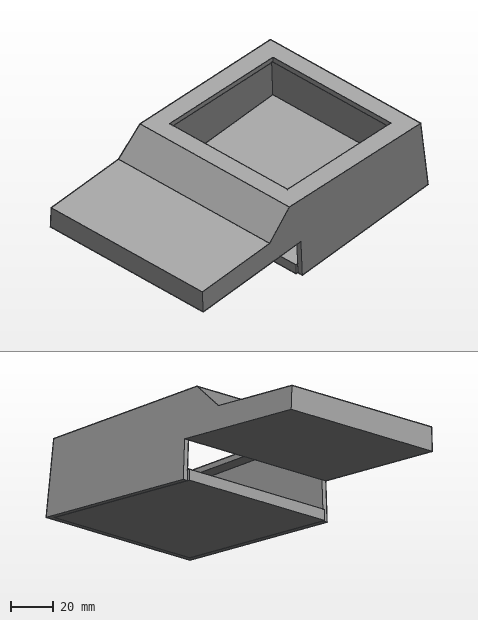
import cadquery as cq
import math

LENGTH = 160.0
BASE_WIDTH = 98.0
TOP_WIDTH = 94.0
PEAK_HEIGHT = 45.0
REAR_Y = LENGTH / 2
FRONT_Y = -LENGTH / 2

REAR_HEIGHT = 38.5
REAR_LEAN = 3.4
PEAK_Y = -17.1
SHELF_Y = -31.8
SHELF_TOP = 32.2
SHELF_UNDERSIDE = 20.2
NOTCH_Y = -10.0

WALL = 2.7
WINDOW_SIZE = 74.0
WINDOW_REAR_INSET = 9.8

PLATE_THICKNESS = 5.5
PLATE_OVERHANG = 1.1
PLATE_CLEARANCE = 0.3

side_slope = (BASE_WIDTH - TOP_WIDTH) / 2 / PEAK_HEIGHT
rear_slope = REAR_LEAN / REAR_HEIGHT
roof_run = REAR_Y - REAR_LEAN - PEAK_Y
roof_slope = (PEAK_HEIGHT - REAR_HEIGHT) / roof_run
roof_angle = math.degrees(math.atan(roof_slope))


def tapered_prism(profile, base_width):
    """Intersect a (Y, Z) profile with a symmetric section that narrows upward."""
    side = cq.Workplane("YZ").polyline(profile).close().extrude(base_width / 2, both=True)
    base_half = base_width / 2
    top_half = base_half - side_slope * PEAK_HEIGHT
    section = [
        (-base_half, 0),
        (base_half, 0),
        (top_half, PEAK_HEIGHT),
        (-top_half, PEAK_HEIGHT),
    ]
    taper = cq.Workplane("XZ").polyline(section).close().extrude(LENGTH, both=True)
    return side.intersect(taper)


def roof_height(y):
    """Height of the sloping roof at a given Y."""
    return PEAK_HEIGHT - roof_slope * (y - PEAK_Y)


def make_outer_block():
    profile = [
        (REAR_Y, 0),
        (REAR_Y - REAR_LEAN, REAR_HEIGHT),
        (PEAK_Y, PEAK_HEIGHT),
        (SHELF_Y, SHELF_TOP),
        (FRONT_Y, SHELF_TOP),
        (FRONT_Y, SHELF_UNDERSIDE),
        (NOTCH_Y, SHELF_UNDERSIDE),
        (NOTCH_Y, 0),
    ]
    return tapered_prism(profile, BASE_WIDTH)


def make_cavity():
    """Interior, open below and at the notch, with one wall thickness around it."""
    floor_rear_y = REAR_Y - WALL
    ceiling_rear_z = REAR_HEIGHT - WALL
    ceiling_rear_y = floor_rear_y - rear_slope * ceiling_rear_z
    profile = [
        (floor_rear_y, 0),
        (ceiling_rear_y, roof_height(ceiling_rear_y) - WALL),
        (NOTCH_Y, roof_height(NOTCH_Y) - WALL),
        (NOTCH_Y, 0),
    ]
    return tapered_prism(profile, BASE_WIDTH - 2 * WALL)


def make_window():
    """Square opening cut square to the sloping roof."""
    window_y = REAR_Y - REAR_LEAN - WINDOW_REAR_INSET - WINDOW_SIZE / 2
    depth = 2 * WALL
    return (
        cq.Workplane("XY")
        .box(WINDOW_SIZE, WINDOW_SIZE, 2 * depth)
        .rotate((0, 0, 0), (1, 0, 0), -roof_angle)
        .translate((0, window_y, roof_height(window_y)))
    )


def make_housing():
    return make_outer_block().cut(make_cavity()).cut(make_window())


def make_base_plate():
    """Flat plate inside the housing, its rear edge following the leaning wall."""
    rear_y = REAR_Y - WALL
    front_y = NOTCH_Y - PLATE_OVERHANG
    profile = [
        (rear_y, 0),
        (rear_y - rear_slope * PLATE_THICKNESS, PLATE_THICKNESS),
        (front_y, PLATE_THICKNESS),
        (front_y, 0),
    ]
    plate_width = BASE_WIDTH - 2 * (WALL + PLATE_CLEARANCE)
    return cq.Workplane("YZ").polyline(profile).close().extrude(plate_width / 2, both=True)


housing = make_housing()
base_plate = make_base_plate()
result = cq.Compound.makeCompound([housing.val(), base_plate.val()])